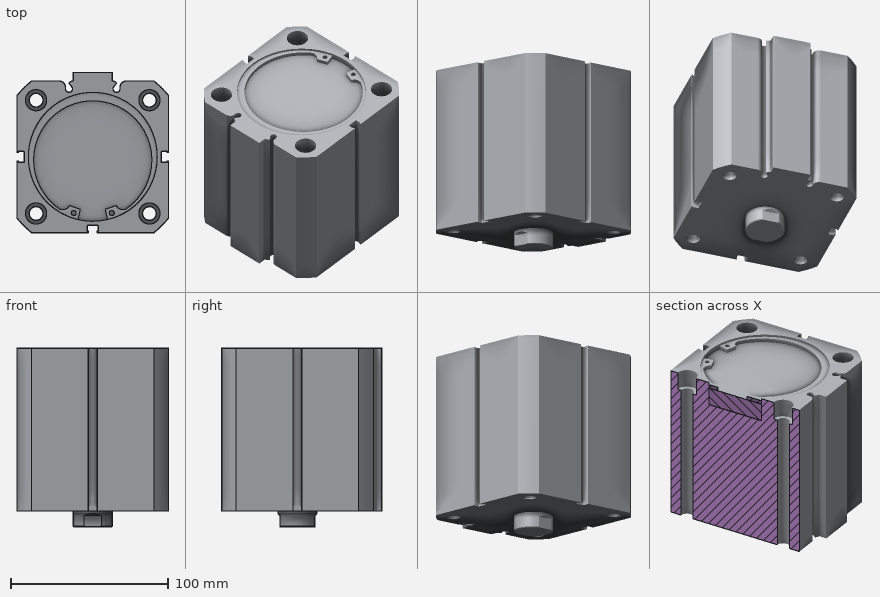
import cadquery as cq
import math

barrel_width = 96.5
half_width = barrel_width / 2
barrel_height = 103.5
corner_diameter = 124.0

bolt_pitch = 72.0
bolt_hole_diameter = 8.6
counterbore_diameter = 13.5
counterbore_depth = 12.0

slot_mouth_width = 5.4
slot_inner_width = 6.8
slot_depth = 4.7
slot_lip = 1.0
slot_corner_radius = 0.4
slot_mouth_chamfer = 0.2

rail_width = 25.0
rail_top = 53.75
rail_corner_radius = 0.5
groove_x = 15.1
groove_radius = 2.15
groove_bottom = 41.1
groove_shoulder_radius = 4.0
groove_opening_angle = 50.0
lip_start = (12.9, half_width)
lip_middle = (14.2, 47.75)
lip_tip = (15.25, 46.9)

bore_radius = 41.0
ring_recess = 1.5
ring_thickness = 2.5
cover_thickness = 12.0
cover_top = barrel_height - ring_recess - ring_thickness
cover_bottom = cover_top - cover_thickness

ring_inner_radius = 37.6
ring_inner_offset = 2.0
lug_inner_radius = 34.3
lug_gap_angle = 13.4
lug_tip_angle = 25.6
lug_heel = (15.9, -32.4)
lug_hollow = (18.3, -33.5)
lug_root_x = 20.8
lug_hole_radius = 37.7
lug_hole_angle = 18.7
lug_hole_diameter = 3.2

rod_diameter = 25.0
rod_radius = rod_diameter / 2
rod_projection = 10.0
rod_taper_length = 0.5
rod_tip_chamfer = 0.5
end_diameter = 24.9
end_radius = end_diameter / 2
end_shoulder = 2.0
end_flats = 22.3
flats_length = 7.1


def mirrored(point):
    """The same point on the other side of the YZ plane."""
    return (-point[0], point[1])


def ring_point(radius, angle):
    """Point at a radius and an angle turned from -Y towards +X."""
    turn = math.radians(angle)
    return (radius * math.sin(turn), -radius * math.cos(turn))


def make_t_slot():
    """Slot along Z in the -Y side, with a narrow mouth whose edges are chamfered."""
    mouth = cq.Workplane("XY").box(
        slot_mouth_width, slot_depth, barrel_height, centered=(True, False, False)
    )
    wide_part = (
        cq.Workplane("XY")
        .box(slot_inner_width, slot_depth - slot_lip, barrel_height, centered=(True, False, False))
        .edges("|Z and >Y")
        .fillet(slot_corner_radius)
        .translate((0, slot_lip, 0))
    )
    flare = (
        cq.Workplane("XY")
        .moveTo(-slot_mouth_width / 2 - slot_mouth_chamfer, 0)
        .lineTo(slot_mouth_width / 2 + slot_mouth_chamfer, 0)
        .lineTo(slot_mouth_width / 2, slot_mouth_chamfer)
        .lineTo(-slot_mouth_width / 2, slot_mouth_chamfer)
        .close()
        .extrude(barrel_height)
    )
    return mouth.union(wide_part).union(flare).translate((0, -half_width, 0))


def make_rail_groove():
    """Undercut groove on the +X side of the rail, open to +Y."""
    centre_y = groove_bottom + groove_radius
    outer_x = groove_x + groove_radius
    opening = math.radians(groove_opening_angle)
    circle_end = (
        groove_x - groove_radius * math.cos(opening),
        centre_y + groove_radius * math.sin(opening),
    )
    shoulder_turn = groove_shoulder_radius * (1 - math.sqrt(0.5))
    return (
        cq.Workplane("XY")
        .moveTo(*lip_start)
        .threePointArc(lip_middle, lip_tip)
        .lineTo(*circle_end)
        .threePointArc((groove_x, groove_bottom), (outer_x, centre_y))
        .lineTo(outer_x, half_width - groove_shoulder_radius)
        .threePointArc(
            (outer_x + shoulder_turn, half_width - shoulder_turn),
            (outer_x + groove_shoulder_radius, half_width),
        )
        .close()
        .extrude(barrel_height)
    )


def make_barrel():
    block = cq.Workplane("XY").rect(barrel_width, barrel_width).extrude(barrel_height)
    turned = cq.Workplane("XY").circle(corner_diameter / 2).extrude(barrel_height)
    body = block.intersect(turned)

    rail = (
        cq.Workplane("XY")
        .box(rail_width, rail_top - bore_radius, barrel_height, centered=(True, False, False))
        .edges("|Z and >Y")
        .fillet(rail_corner_radius)
        .translate((0, bore_radius, 0))
    )
    body = body.union(rail)

    groove = make_rail_groove()
    body = body.cut(groove).cut(groove.mirror("YZ"))

    for angle in (-90, 0, 90):
        body = body.cut(make_t_slot().rotate((0, 0, 0), (0, 0, 1), angle))

    body = (
        body.faces(">Z")
        .workplane(origin=(0, 0, barrel_height))
        .rect(bolt_pitch, bolt_pitch, forConstruction=True)
        .vertices()
        .cboreHole(bolt_hole_diameter, counterbore_diameter, counterbore_depth)
    )

    rear_opening = (
        cq.Workplane("XY")
        .workplane(offset=cover_bottom)
        .circle(bore_radius)
        .extrude(barrel_height - cover_bottom)
    )
    rod_hole = cq.Workplane("XY").circle(rod_radius).extrude(barrel_height)
    return body.cut(rear_opening).cut(rod_hole)


def make_cover():
    return (
        cq.Workplane("XY")
        .workplane(offset=cover_bottom)
        .circle(bore_radius)
        .extrude(cover_thickness)
    )


def make_retaining_ring():
    gap_outer = ring_point(bore_radius, lug_gap_angle)
    gap_inner = ring_point(lug_inner_radius, lug_gap_angle)
    lug_tip = ring_point(lug_inner_radius, lug_tip_angle)
    root_drop = math.sqrt(ring_inner_radius**2 - lug_root_x**2)
    lug_root = (lug_root_x, -ring_inner_offset - root_drop)
    lug_hole = ring_point(lug_hole_radius, lug_hole_angle)
    return (
        cq.Workplane("XY")
        .workplane(offset=cover_top)
        .moveTo(*gap_outer)
        .threePointArc((0, bore_radius), mirrored(gap_outer))
        .lineTo(*mirrored(gap_inner))
        .lineTo(*mirrored(lug_tip))
        .lineTo(*mirrored(lug_heel))
        .threePointArc(mirrored(lug_hollow), mirrored(lug_root))
        .threePointArc((0, ring_inner_radius - ring_inner_offset), lug_root)
        .threePointArc(lug_hollow, lug_heel)
        .lineTo(*lug_tip)
        .lineTo(*gap_inner)
        .close()
        .pushPoints([lug_hole, mirrored(lug_hole)])
        .circle(lug_hole_diameter / 2)
        .extrude(ring_thickness)
    )


def make_rod():
    """Rod from the cover to its tip, stepping down to a slightly thinner end with two wrench flats."""
    tip = -rod_projection
    half_flats = end_flats / 2
    rod = (
        cq.Workplane("XZ")
        .moveTo(0, tip)
        .lineTo(end_radius - rod_tip_chamfer, tip)
        .lineTo(end_radius, tip + rod_tip_chamfer)
        .lineTo(end_radius, -end_shoulder)
        .lineTo(rod_radius, rod_taper_length - end_shoulder)
        .lineTo(rod_radius, cover_bottom)
        .lineTo(0, cover_bottom)
        .close()
        .revolve(360, (0, 0, 0), (0, 1, 0))
    )
    flat_end = tip + flats_length
    runout = rod_radius - half_flats
    flat_cut = (
        cq.Workplane("YZ")
        .moveTo(-rod_radius, tip)
        .lineTo(-rod_radius, flat_end + runout)
        .lineTo(-half_flats, flat_end)
        .lineTo(-half_flats, tip)
        .close()
        .extrude(rod_radius, both=True)
    )
    return rod.cut(flat_cut).cut(flat_cut.mirror("XZ"))


barrel = make_barrel()
cover = make_cover()
retaining_ring = make_retaining_ring()
rod = make_rod()

result = cq.Compound.makeCompound([barrel.val(), cover.val(), retaining_ring.val(), rod.val()])